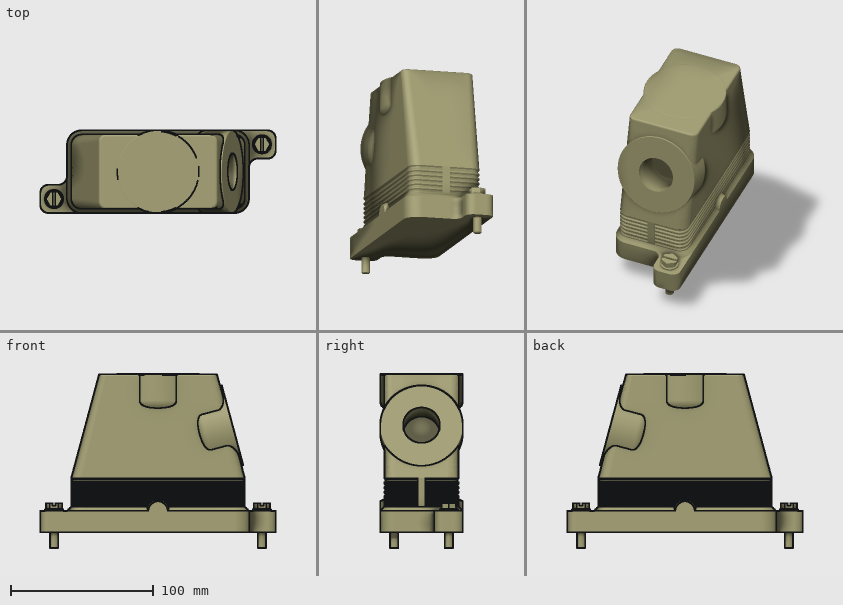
import cadquery as cq
import math

overall_length = 165.0
depth = 58.0
flange_height = 15.0
top_height = 110.9
corner_chamfer = 3.0

flange_length = 127.5
flange_corner = 10.4
ear_width = 20.0
ear_radius = 6.0

wall_length = flange_length - 2 * corner_chamfer
wall_depth = depth - 2 * corner_chamfer
wall_corner = flange_corner - corner_chamfer
slope_start = 38.0
side_slope = 15.0
top_corner = 5.0
top_edge_radius = 1.5

rib_zone_bottom = flange_height + corner_chamfer
rib_count = 6
rib_span = 16.2
rib_pitch = rib_span / (rib_count - 1)
rib_depth = 0.8
rib_height = 2.5
strip_width = 5.5

boss_radius = depth / 2
boss_length = 24.8
boss_inner_fillet = 6.0
top_boss_edge_fillet = 0.8
top_boss_rise = 0.08
side_boss_edge_fillet = 0.3
side_boss_rise = 1.3
side_boss_z = 75.0
cable_hole_diameter = 25.7

lobe_radius = 6.8
lobe_root_radius = 8.2

screw_x = 72.8
screw_y = 19.1
shank_diameter = 6.0
shank_end = -11.2
shank_chamfer = 0.5
collar_diameter = 12.9
collar_height = 1.5
collar_chamfer = 0.5
hex_across_flats = 10.0
hex_across_corners = hex_across_flats * 2 / math.sqrt(3)
hex_height = 4.0
slot_width = 2.0
slot_depth = 1.6

half_turns = (0, 180)


def rounded_block(length, width, corner, bottom, height):
    """Upright block with rounded vertical edges, centred on the Z axis."""
    block = cq.Workplane("XY", origin=(0, 0, bottom)).rect(length, width).extrude(height)
    return block.edges("|Z").fillet(corner)


def make_ear():
    """Screw ear at the (-X, -Y) corner, blended into the flange end by a concave arc."""
    left = -overall_length / 2
    front = -depth / 2
    back = front + ear_width
    flange_end = -flange_length / 2
    blend_x = flange_end - ear_radius
    diagonal = ear_radius * math.sqrt(0.5)
    return (
        cq.Workplane("XY")
        .moveTo(0, front)
        .lineTo(left + ear_radius, front)
        .radiusArc((left, front + ear_radius), ear_radius)
        .lineTo(left, back - ear_radius)
        .radiusArc((left + ear_radius, back), ear_radius)
        .lineTo(blend_x, back)
        .threePointArc(
            (blend_x + diagonal, back + ear_radius - diagonal),
            (flange_end, back + ear_radius),
        )
        .lineTo(0, back + ear_radius)
        .close()
        .extrude(flange_height)
    )


def make_flange():
    """Flange with its sloped shoulder and both ears."""
    flange = rounded_block(flange_length, depth, flange_corner, 0, rib_zone_bottom)
    flange = flange.faces(">Z").chamfer(corner_chamfer)
    for angle in half_turns:
        flange = flange.union(make_ear().rotate((0, 0, 0), (0, 0, 1), angle))
    return flange


def make_ribbed_wall():
    """Recessed wall carrying the ribs, with a sloped lip on top and a plain strip at each end."""
    core_length = wall_length - 2 * rib_depth
    core_width = wall_depth - 2 * rib_depth
    core_corner = wall_corner - rib_depth
    lip_bottom = slope_start - rib_depth
    core = rounded_block(core_length, core_width, core_corner, flange_height, lip_bottom - flange_height)
    lip = (
        cq.Workplane("XY", origin=(0, 0, lip_bottom))
        .placeSketch(cq.Sketch().rect(core_length, core_width).vertices().fillet(core_corner))
        .extrude(rib_depth, taper=-45)
    )
    core = core.union(lip)
    for index in range(rib_count):
        root_bottom = rib_zone_bottom - rib_depth + index * rib_pitch
        rib = rounded_block(wall_length, wall_depth, wall_corner, root_bottom, rib_height)
        core = core.union(rib.faces("<Z or >Z").chamfer(rib_depth))
    strip = cq.Workplane("XY", origin=(0, 0, flange_height)).rect(wall_length, strip_width)
    return core.union(strip.extrude(slope_start - flange_height))


def make_tapered_hood():
    """Upper hood: end walls lean inward, corners tighten toward the top."""
    rise = top_height - slope_start
    top_length = wall_length - 2 * rise * math.tan(math.radians(side_slope))
    lower = cq.Sketch().rect(wall_length, wall_depth).vertices().fillet(wall_corner)
    upper = cq.Sketch().rect(top_length, wall_depth).vertices().fillet(top_corner)
    return (
        cq.Workplane("XY", origin=(0, 0, slope_start))
        .placeSketch(lower, upper.moved(cq.Location(cq.Vector(0, 0, rise))))
        .loft(ruled=True)
        .faces(">Z").edges().fillet(top_edge_radius)
    )


def make_boss(face_plane, edge_fillet):
    """Round boss reaching inward from its outer face, rounded at both ends."""
    boss = cq.Workplane(face_plane).circle(boss_radius).extrude(-boss_length)
    inner_edge = cq.selectors.CenterNthSelector(face_plane.zDir, 0)
    outer_edge = cq.selectors.CenterNthSelector(face_plane.zDir, -1)
    return boss.edges(inner_edge).fillet(boss_inner_fillet).edges(outer_edge).fillet(edge_fillet)


def side_boss_plane():
    """Outer face of the side boss, parallel to the leaning +X wall."""
    slope = math.radians(side_slope)
    wall_x = wall_length / 2 - (side_boss_z - slope_start) * math.tan(slope)
    face_x = wall_x + side_boss_rise / math.cos(slope)
    return cq.Plane(
        origin=(face_x, 0, side_boss_z),
        xDir=(math.sin(slope), 0, -math.cos(slope)),
        normal=(math.cos(slope), 0, math.sin(slope)),
    )


def make_lobe():
    """Half-round lobe on the -Y side, widening toward the wall."""
    return (
        cq.Workplane("XZ", origin=(0, -depth / 2, flange_height))
        .circle(lobe_radius)
        .workplane(offset=-corner_chamfer)
        .circle(lobe_root_radius)
        .loft()
    )


def make_housing():
    """Hood, flange, lobes and bosses as one solid, with the cable and screw holes cut."""
    housing = make_flange().union(make_ribbed_wall()).union(make_tapered_hood())
    for angle in half_turns:
        housing = housing.union(make_lobe().rotate((0, 0, 0), (0, 0, 1), angle))

    top_face = cq.Plane(origin=(0, 0, top_height + top_boss_rise))
    side_face = side_boss_plane()
    housing = housing.union(make_boss(top_face, top_boss_edge_fillet))
    housing = housing.union(make_boss(side_face, side_boss_edge_fillet))
    cable_hole = cq.Workplane(side_face).circle(cable_hole_diameter / 2).extrude(-boss_length)
    screw_holes = (
        cq.Workplane("XY")
        .pushPoints([(-screw_x, -screw_y), (screw_x, screw_y)])
        .circle(shank_diameter / 2)
        .extrude(flange_height)
    )
    return housing.cut(cable_hole).cut(screw_holes)


def make_screw(x, y):
    """Slotted hex screw with a round collar, standing in an ear."""
    shank = (
        cq.Workplane("XY", origin=(x, y, shank_end))
        .circle(shank_diameter / 2)
        .extrude(flange_height - shank_end)
        .faces("<Z").chamfer(shank_chamfer)
    )
    collar = (
        cq.Workplane("XY", origin=(x, y, flange_height))
        .circle(collar_diameter / 2)
        .extrude(collar_height)
        .faces(">Z").chamfer(collar_chamfer)
    )
    collar_top = flange_height + collar_height
    head = (
        cq.Workplane("XY", origin=(x, y, collar_top))
        .polygon(6, hex_across_corners)
        .extrude(hex_height)
    )
    slot = (
        cq.Workplane("XY", origin=(x, y, collar_top + hex_height))
        .rect(slot_width, 2 * hex_across_flats)
        .extrude(-slot_depth)
    )
    return shank.union(collar).union(head).cut(slot)


housing = make_housing()
screws = [make_screw(side * screw_x, side * screw_y) for side in (-1, 1)]

result = cq.Compound.makeCompound([housing.val(), *[screw.val() for screw in screws]])